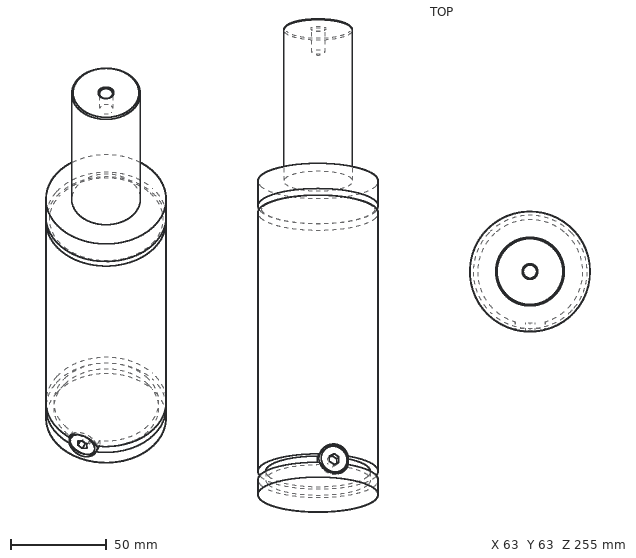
import cadquery as cq
import math

total_height = 255.0
body_diameter = 63.0
body_height = 171.5
rod_diameter = 36.0
rod_chamfer = 0.8

head_height = 13.8
head_groove_radius = 1.8

base_height = 8.2
base_groove_width = 4.5
base_groove_depth = 4.0

plug_diameter = 16.0
plug_face_diameter = 14.0
socket_width = 5.0
socket_depth = 3.8

rod_hole_diameter = 7.0
rod_hole_mouth_diameter = 8.2
rod_hole_depth = 12.8
drill_point_angle = 118.0

body_radius = body_diameter / 2
groove_floor_radius = body_radius - base_groove_depth
plug_height = base_height + base_groove_width / 2
plug_face_y = -math.sqrt(body_radius**2 - (plug_face_diameter / 2) ** 2)


def cylinder_along_y(diameter, y_start, y_end):
    """Cylinder on the plug axis between two Y positions."""
    plane = cq.Workplane("XZ", origin=(0, y_end, plug_height))
    return plane.circle(diameter / 2).extrude(y_end - y_start)


def make_body_and_rod():
    head_groove_top = body_height - head_height
    head_groove_bottom = head_groove_top - 2 * head_groove_radius
    head_groove_middle = head_groove_top - head_groove_radius
    groove_top = base_height + base_groove_width
    rod_radius = rod_diameter / 2
    half_section = (
        cq.Workplane("XZ")
        .lineTo(body_radius, 0)
        .lineTo(body_radius, base_height)
        .lineTo(groove_floor_radius, base_height)
        .lineTo(groove_floor_radius, groove_top)
        .lineTo(body_radius, groove_top)
        .lineTo(body_radius, head_groove_bottom)
        .threePointArc(
            (body_radius - head_groove_radius, head_groove_middle),
            (body_radius, head_groove_top),
        )
        .lineTo(body_radius, body_height)
        .lineTo(rod_radius, body_height)
        .lineTo(rod_radius, total_height - rod_chamfer)
        .lineTo(rod_radius - rod_chamfer, total_height)
        .lineTo(0, total_height)
        .close()
    )
    return half_section.revolve(360, (0, 0, 0), (0, 1, 0))


def make_rod_hole():
    """Blind hole with a 45 degree mouth and a conical drill point."""
    radius = rod_hole_diameter / 2
    mouth_radius = rod_hole_mouth_diameter / 2
    mouth_depth = mouth_radius - radius
    floor = total_height - rod_hole_depth
    point_length = radius / math.tan(math.radians(drill_point_angle / 2))
    half_section = (
        cq.Workplane("XZ")
        .moveTo(0, total_height)
        .lineTo(mouth_radius, total_height)
        .lineTo(radius, total_height - mouth_depth)
        .lineTo(radius, floor)
        .lineTo(0, floor - point_length)
        .close()
    )
    return half_section.revolve(360, (0, 0, 0), (0, 1, 0))


def add_plug(part):
    """Plug with a chamfered face and a hexagonal socket, set in a bore of its own diameter."""
    bore = cylinder_along_y(plug_diameter, -body_radius, 0)
    face_chamfer = (plug_diameter - plug_face_diameter) / 2
    plug = cylinder_along_y(plug_diameter, plug_face_y, 0).faces("<Y").chamfer(face_chamfer)
    socket_plane = cq.Plane(
        origin=(0, plug_face_y, plug_height), xDir=(0, 0, 1), normal=(0, 1, 0)
    )
    socket_corner_diameter = socket_width / math.cos(math.pi / 6)
    socket = cq.Workplane(socket_plane).polygon(6, socket_corner_diameter).extrude(socket_depth)
    return part.cut(bore).union(plug).cut(socket)


result = add_plug(make_body_and_rod().cut(make_rod_hole()))